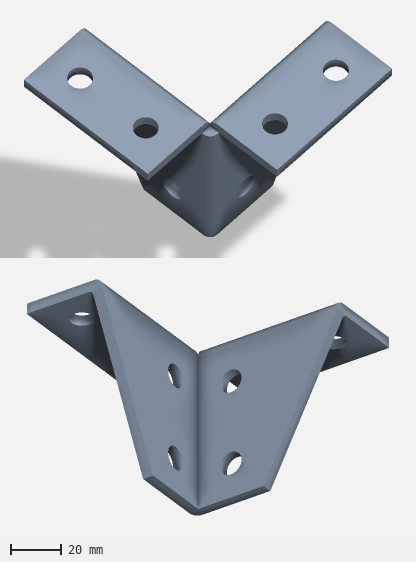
import cadquery as cq


thickness = 4.7625
height = 74.6125
arm_length = 67.46875
flange_depth = 36.5125
outer_bend_radius = 3.81
inner_bend_radius = 1.5
hole_diameter = 10.31875
hole_edge_distance = 15.875
wall_hole_spacing = 38.1

wall_bottom_length = 2 * hole_edge_distance
lower_wall_hole_z = hole_edge_distance - height
wall_hole_heights = (lower_wall_hole_z, lower_wall_hole_z + wall_hole_spacing)
flange_hole_positions = (hole_edge_distance - arm_length, -hole_edge_distance)


def angle_section():
    """Angle with a vertical wall behind a flange that points to -Y, run along X."""
    angle = (
        cq.Workplane("YZ")
        .polyline(
            [
                (0, 0),
                (-flange_depth, 0),
                (-flange_depth, -thickness),
                (-thickness, -thickness),
                (-thickness, -height),
                (0, -height),
            ]
        )
        .close()
        .extrude(-arm_length)
    )
    outer_bend_middle = (-arm_length / 2, 0, 0)
    angle = angle.edges(cq.NearestToPointSelector(outer_bend_middle)).fillet(outer_bend_radius)
    inner_bend_middle = (-arm_length / 2, -thickness, -thickness)
    return angle.edges(cq.NearestToPointSelector(inner_bend_middle)).fillet(inner_bend_radius)


def wall_taper():
    """Triangular prism that slopes the free end of the wall below the flange."""
    return (
        cq.Workplane("XZ")
        .polyline(
            [
                (-arm_length, -thickness),
                (-arm_length, -height),
                (-wall_bottom_length, -height),
            ]
        )
        .close()
        .extrude(flange_depth)
    )


def wall_holes():
    """Two holes through the wall, one above the other."""
    return (
        cq.Workplane("XZ")
        .pushPoints([(-hole_edge_distance, z) for z in wall_hole_heights])
        .circle(hole_diameter / 2)
        .extrude(thickness)
    )


def flange_holes():
    """Two holes through the flange, in a row along the arm."""
    hole_y = hole_edge_distance - flange_depth
    return (
        cq.Workplane("XY")
        .pushPoints([(x, hole_y) for x in flange_hole_positions])
        .circle(hole_diameter / 2)
        .extrude(-thickness)
    )


def corner_post():
    """Square post joining both walls below the flanges, rounded on the outside."""
    return (
        cq.Workplane("XY", origin=(0, 0, -height))
        .rect(thickness, -thickness, centered=False)
        .extrude(height - thickness)
        .edges("|Z and >X and <Y")
        .fillet(outer_bend_radius)
    )


arm_along_x = angle_section().cut(wall_taper()).cut(wall_holes()).cut(flange_holes())

arm_along_y = arm_along_x.mirror((1, 1, 0))

result = arm_along_x.union(corner_post()).union(arm_along_y)